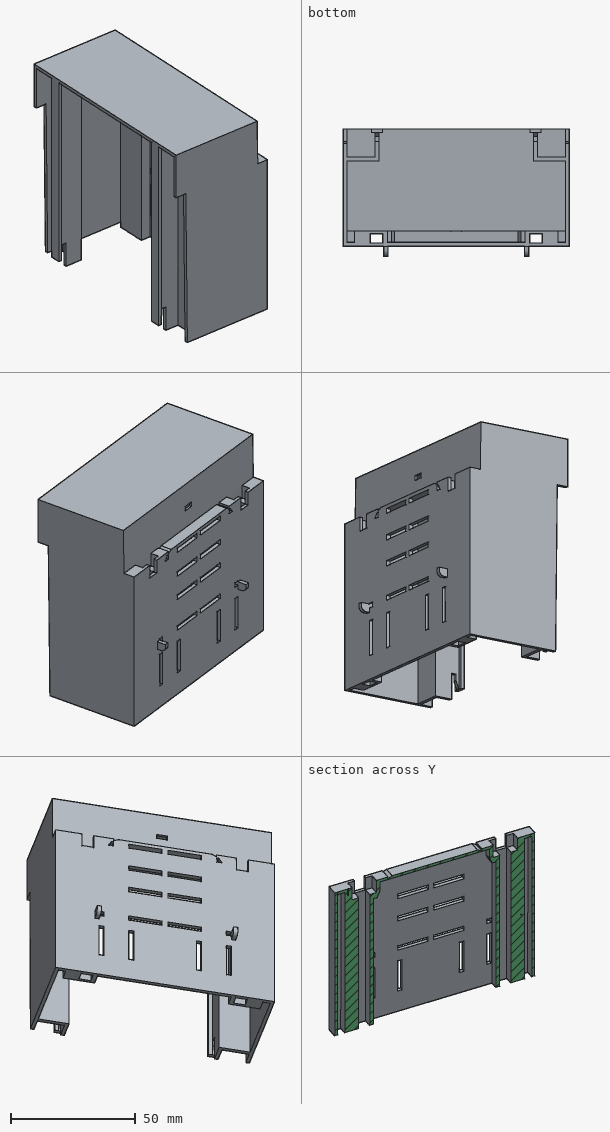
import cadquery as cq
import math

WIDTH = 90.5
HEIGHT = 90.0
WALL = 1.5
UPPER_DEPTH = 41.75
LOWER_DEPTH = 47.0
SHELF_Z = 70.0
SHELF_THICKNESS = WALL
SHELF_UNDERSIDE = SHELF_Z - SHELF_THICKNESS
HALF_WIDTH = WIDTH / 2
INNER_HALF = HALF_WIDTH - WALL

SIDE_SETBACK = 5.0
SIDE_LEAN = math.radians(0.65)

UPPER_TOP_THICKNESS = 0.8
UPPER_WALL_FRONT = UPPER_DEPTH - UPPER_TOP_THICKNESS
LOWER_PANEL_FRONT = LOWER_DEPTH - WALL
PANEL_LEAN = math.radians(0.25)

UPPER_LEAN = math.radians(0.85)
SHELF_FRONT = UPPER_DEPTH + (HEIGHT - SHELF_Z) * math.tan(UPPER_LEAN)

RAIL_X = 31.75
RAIL_FLANGE_WIDTH = 4.55
RAIL_FLANGE_BOTTOM = 4.8
RAIL_NOTCH_TOP = 10.9
RAIL_NOTCH_Y = 3.0
RAIL_SLANT_TOP = 8.2
WEB_FRONT = 11.3
WEB_THICKNESS = 1.5

BLOCK_INNER_X = 27.6
BLOCK_OUTER_X = 40.7
BLOCK_STEP_Z = 61.3
BLOCK_STEP_X = 26.0
BLOCK_HEAD_Z = 64.1
BLOCK_HEAD_X = 24.7
CHANNEL_X = 31.9
CHANNEL_WIDTH = 4.9
CHANNEL_HEAD_WIDTH = 10.9
CHANNEL_FRONT = SHELF_FRONT
CHANNEL_BACK = 45.6

SLOT = 2.0
INNER_SLOT_X = 1.25
ROW_END_X = 14.95
ROW_BOTTOMS = (55.3, 44.4)
ROW_HEIGHT = 2.2
LOW_ROW_BOTTOM = 30.0
TOP_ROW_BOTTOM = 66.5
UPRIGHT_BOTTOM = 10.0
UPRIGHT_TOP = 24.7
EDGE_SLOT_X = 27.3
CORNER_SLOT_INNER_X = 21.3
CORNER_SLOT_OUTER_X = 23.4
CORNER_SLOT_TOP_X = 22.1

WINDOW_WIDTH = 4.3
WINDOW_BOTTOM = 77.8

GROOVE_INNER_X = 19.3
GROOVE_OUTER_X = 21.2
GROOVE_SLOPE = math.radians(25)

HOOK_INNER_X = 27.3
HOOK_WIDTH = 1.75
HOOK_LENGTH = 4.0
HOOK_TOP = 31.6
HOOK_HEIGHT = 3.5
HOOK_ROUND = 2.3


def box(x, y, z):
    """Box given by its (low, high) limits along each axis."""
    size = (x[1] - x[0], y[1] - y[0], z[1] - z[0])
    return cq.Workplane("XY").box(*size, centered=False).translate((x[0], y[0], z[0]))


def side_profile(points, x_low, x_high):
    """Prism along X from an outline of (Y, Z) points."""
    outline = cq.Workplane("YZ").polyline(points).close()
    return outline.extrude(x_high - x_low).translate((x_low, 0, 0))


def front_profile(points, y_low, y_high):
    """Prism along Y from an outline of (X, Z) points."""
    outline = cq.Workplane("XZ").polyline(points).close()
    return outline.extrude(y_low - y_high).translate((0, y_low, 0))


def both_sides(shape):
    """The shape together with its mirror image across the YZ plane."""
    return shape.union(shape.mirror("YZ"))


def make_shell():
    span = (-INNER_HALF, INNER_HALF)
    wall_outline = [
        (0, HEIGHT),
        (UPPER_DEPTH, HEIGHT),
        (SHELF_FRONT, SHELF_Z),
        (LOWER_DEPTH, SHELF_Z),
        (LOWER_DEPTH, 0),
        (SIDE_SETBACK + SHELF_Z * math.tan(SIDE_LEAN), 0),
        (SIDE_SETBACK, SHELF_Z),
        (0, SHELF_Z),
    ]
    panel_outline = [
        (LOWER_PANEL_FRONT - SHELF_Z * math.tan(PANEL_LEAN), SHELF_Z),
        (LOWER_DEPTH, SHELF_Z),
        (LOWER_DEPTH, 0),
        (LOWER_PANEL_FRONT, 0),
    ]
    upper_outline = [
        (UPPER_WALL_FRONT, HEIGHT),
        (UPPER_DEPTH, HEIGHT),
        (SHELF_FRONT, SHELF_Z),
        (SHELF_FRONT, SHELF_UNDERSIDE),
        (UPPER_WALL_FRONT, SHELF_UNDERSIDE),
    ]
    shell = both_sides(side_profile(wall_outline, INNER_HALF, HALF_WIDTH))
    shell = shell.union(box(span, (0, UPPER_DEPTH), (HEIGHT - WALL, HEIGHT)))
    shell = shell.union(side_profile(upper_outline, *span))
    shell = shell.union(box(span, (SHELF_FRONT, LOWER_DEPTH), (SHELF_UNDERSIDE, SHELF_Z)))
    return shell.union(side_profile(panel_outline, -INNER_HALF, INNER_HALF))


def make_rail():
    stem_x = (RAIL_X - WALL / 2, RAIL_X + WALL / 2)
    flange_x = (RAIL_X - RAIL_FLANGE_WIDTH / 2, RAIL_X + RAIL_FLANGE_WIDTH / 2)
    stem_outline = [
        (0, HEIGHT - WALL),
        (0, RAIL_FLANGE_BOTTOM),
        (WALL, RAIL_FLANGE_BOTTOM),
        (RAIL_NOTCH_Y, RAIL_SLANT_TOP),
        (RAIL_NOTCH_Y, RAIL_NOTCH_TOP),
        (SIDE_SETBACK, RAIL_NOTCH_TOP),
        (SIDE_SETBACK, 0),
        (WEB_FRONT, 0),
        (WEB_FRONT, HEIGHT - WALL),
    ]
    web_y = (WEB_FRONT, WEB_FRONT + WEB_THICKNESS)
    flange = box(flange_x, (0, WALL), (RAIL_FLANGE_BOTTOM, HEIGHT - WALL))
    web = box((stem_x[0], INNER_HALF), web_y, (0, HEIGHT - WALL))
    return side_profile(stem_outline, *stem_x).union(flange).union(web)


def make_block():
    outline = [
        (BLOCK_INNER_X, 0),
        (BLOCK_INNER_X, BLOCK_STEP_Z),
        (BLOCK_STEP_X, BLOCK_STEP_Z),
        (BLOCK_HEAD_X, BLOCK_HEAD_Z),
        (BLOCK_HEAD_X, SHELF_Z),
        (BLOCK_OUTER_X, SHELF_Z),
        (BLOCK_OUTER_X, 0),
    ]
    return front_profile(outline, UPPER_WALL_FRONT, LOWER_DEPTH)


def make_channel():
    """Through channel with a wider head, opening through the back above the head floor."""
    narrow = (CHANNEL_X - CHANNEL_WIDTH / 2, CHANNEL_X + CHANNEL_WIDTH / 2)
    head = (CHANNEL_X - CHANNEL_HEAD_WIDTH / 2, CHANNEL_X + CHANNEL_HEAD_WIDTH / 2)
    channel_y = (CHANNEL_FRONT, CHANNEL_BACK)
    channel = box(narrow, channel_y, (0, SHELF_Z))
    channel = channel.union(box(head, channel_y, (BLOCK_HEAD_Z, SHELF_Z)))
    return channel.union(box(narrow, (CHANNEL_FRONT, LOWER_DEPTH), (BLOCK_HEAD_Z, SHELF_Z)))


def make_slots():
    panel_y = (SHELF_FRONT, LOWER_DEPTH)
    row_x = (INNER_SLOT_X, ROW_END_X)
    edge_x = (EDGE_SLOT_X - SLOT, EDGE_SLOT_X)
    low_row_z = (LOW_ROW_BOTTOM, LOW_ROW_BOTTOM + SLOT)
    upright_z = (UPRIGHT_BOTTOM, UPRIGHT_TOP)
    corner_outline = [
        (CORNER_SLOT_INNER_X, TOP_ROW_BOTTOM),
        (CORNER_SLOT_OUTER_X, TOP_ROW_BOTTOM),
        (CORNER_SLOT_TOP_X, SHELF_UNDERSIDE),
        (CORNER_SLOT_INNER_X, SHELF_UNDERSIDE),
    ]
    slots = front_profile(corner_outline, *panel_y)
    slots = slots.union(box(row_x, panel_y, (TOP_ROW_BOTTOM, SHELF_UNDERSIDE)))
    for bottom in ROW_BOTTOMS:
        slots = slots.union(box(row_x, panel_y, (bottom, bottom + ROW_HEIGHT)))
    for x_limits in (row_x, edge_x):
        slots = slots.union(box(x_limits, panel_y, low_row_z))
    for outer_x in (ROW_END_X, EDGE_SLOT_X):
        slots = slots.union(box((outer_x - SLOT, outer_x), panel_y, upright_z))
    return slots


def make_window():
    x_limits = (-WINDOW_WIDTH / 2, WINDOW_WIDTH / 2)
    return box(x_limits, (UPPER_WALL_FRONT, SHELF_FRONT), (WINDOW_BOTTOM, WINDOW_BOTTOM + SLOT))


def make_groove():
    depth = (GROOVE_OUTER_X - GROOVE_INNER_X) * math.tan(GROOVE_SLOPE)
    outline = [
        (GROOVE_INNER_X, SHELF_Z),
        (GROOVE_OUTER_X, SHELF_Z),
        (GROOVE_OUTER_X, SHELF_Z - depth),
    ]
    return front_profile(outline, SHELF_FRONT, LOWER_DEPTH)


def make_hook():
    x_limits = (HOOK_INNER_X, HOOK_INNER_X + HOOK_WIDTH)
    y_limits = (LOWER_DEPTH, LOWER_DEPTH + HOOK_LENGTH)
    hook = box(x_limits, y_limits, (HOOK_TOP - HOOK_HEIGHT, HOOK_TOP))
    return hook.edges("|X and >Y and <Z").fillet(HOOK_ROUND)


result = make_shell()
for feature in (make_rail(), make_block(), make_hook()):
    result = result.union(both_sides(feature))
for opening in (make_channel(), make_slots(), make_groove()):
    result = result.cut(both_sides(opening))
result = result.cut(make_window())